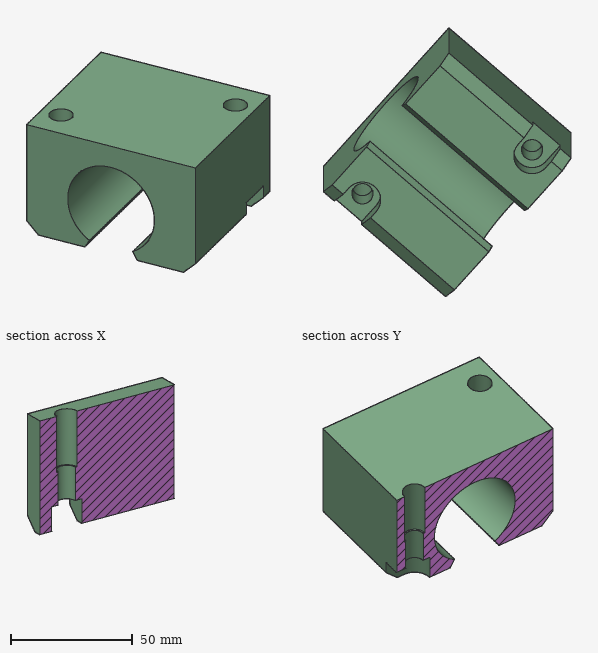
import cadquery as cq
import math

width = 78.0
length = 67.0
height = 51.0
edge_chamfer = 5.5

bore_radius = 20.0
bore_height = 21.0
opening_half_angle = math.radians(30)

hole_x = 30.0
hole_y = 20.0
through_diameter = 8.6
upper_diameter = 10.0
upper_depth = 25.0
pocket_width = 15.0
pocket_height = 11.0


def make_block():
    """Block with its two lower long edges chamfered."""
    block = cq.Workplane("XY").box(width, length, height, centered=(True, True, False))
    return block.faces("<Z").edges("|Y").chamfer(edge_chamfer)


def make_bore():
    """Round bore with an opening that widens radially down to the underside."""
    bore = cq.Workplane("XZ", origin=(0, 0, bore_height)).circle(bore_radius)
    bore = bore.extrude(length / 2, both=True)
    opening_half_width = bore_height * math.tan(opening_half_angle)
    opening = (
        cq.Workplane("XZ")
        .moveTo(0, bore_height)
        .lineTo(-opening_half_width, 0)
        .lineTo(opening_half_width, 0)
        .close()
        .extrude(length / 2, both=True)
    )
    return bore.union(opening)


def make_mounting_hole(side):
    """Stepped hole and U-shaped pocket; side is -1 for the -X, -Y corner and 1 for the +X, +Y corner."""
    x = side * hole_x
    y = side * hole_y
    through = cq.Workplane("XY", origin=(x, y, 0)).circle(through_diameter / 2).extrude(height)
    upper = cq.Workplane("XY", origin=(x, y, height)).circle(upper_diameter / 2).extrude(-upper_depth)
    pocket_end = cq.Workplane("XY", origin=(x, y, 0)).circle(pocket_width / 2).extrude(pocket_height)
    run_out = width / 2 - hole_x
    pocket_run = cq.Workplane("XY", origin=(x + side * run_out / 2, y, 0)).box(
        run_out, pocket_width, pocket_height, centered=(True, True, False)
    )
    return through.union(upper).union(pocket_end).union(pocket_run)


result = make_block().cut(make_bore())
for corner_side in (-1, 1):
    result = result.cut(make_mounting_hole(corner_side))